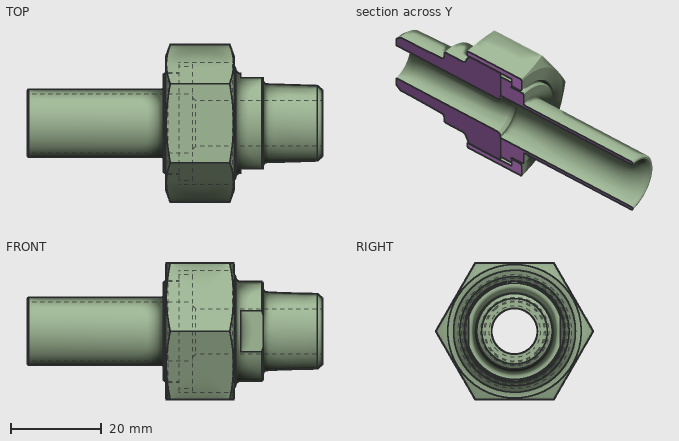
import cadquery as cq
import math

TOTAL_LENGTH = 65.0

NUT_ACROSS_FLATS = 30.0
NUT_START = 30.5
NUT_LENGTH = 15.0
NUT_FACE_RADIUS = 14.7
NUT_CHAMFER_ANGLE = 20.0
NUT_LIP_LENGTH = 2.85
NUT_LIP_RADIUS = 11.25
NUT_LIP_CHAMFER = 0.45
NUT_THREAD_RADIUS = 13.42

TUBE_RADIUS = 7.51
TUBE_BORE_RADIUS = 6.5
TUBE_OUTER_CHAMFER = 0.3
TUBE_INNER_CHAMFER = 0.25
HUB_START = 29.95
HUB_RADIUS = 11.0
HUB_CHAMFER = 0.25
HUB_FILLET = 0.4
COLLAR_RADIUS = 12.51
COLLAR_LENGTH = 3.0

BORE_RADIUS = 5.0
BORE_MOUTH_RADIUS = 5.65
SHOULDER_START = 45.05
NECK_FILLET_START = 45.8
NECK_FILLET_RADIUS = 1.05
NECK_RADIUS = 11.0
NECK_END = 51.95
NECK_CHAMFER = 0.4
WRENCH_FLAT_WIDTH = 20.0
WRENCH_FLAT_START = 47.0
TAPER_START = 52.65
TAPER_START_RADIUS = 8.65
TAPER_END = 63.8
TAPER_FILLET = 0.7
TAPER_RATIO = 1 / 16
END_RADIUS = 7.2

NUT_END = NUT_START + NUT_LENGTH
LIP_END = NUT_START + NUT_LIP_LENGTH
SEAT = LIP_END + COLLAR_LENGTH
TAPER_END_RADIUS = TAPER_START_RADIUS - (TAPER_END - TAPER_START) * TAPER_RATIO / 2
HALF_DIAGONAL = math.sin(math.pi / 4)


def revolve_about_x(profile):
    """Revolve a closed (x, radius) profile about the X axis."""
    return profile.close().revolve(360, (0, 0, 0), (1, 0, 0))


def concave_fillet(profile, start_x, end_radius, size):
    """Quarter arc from (start_x, end_radius + size) down to (start_x + size, end_radius)."""
    sag = size * (1 - HALF_DIAGONAL)
    return profile.threePointArc(
        (start_x + sag, end_radius + sag), (start_x + size, end_radius)
    )


def make_nut():
    hexagon_diameter = NUT_ACROSS_FLATS / math.cos(math.pi / 6)
    hexagon = cq.Workplane("YZ", origin=(NUT_START, 0, 0)).polygon(6, hexagon_diameter).extrude(NUT_LENGTH)

    corner_radius = hexagon_diameter / 2
    chamfer_length = (corner_radius - NUT_FACE_RADIUS) * math.tan(math.radians(NUT_CHAMFER_ANGLE))
    envelope = revolve_about_x(
        cq.Workplane("XY")
        .moveTo(NUT_START, 0)
        .lineTo(NUT_START, NUT_FACE_RADIUS)
        .lineTo(NUT_START + chamfer_length, corner_radius)
        .lineTo(NUT_END - chamfer_length, corner_radius)
        .lineTo(NUT_END, NUT_FACE_RADIUS)
        .lineTo(NUT_END, 0)
    )
    opening = revolve_about_x(
        cq.Workplane("XY")
        .moveTo(NUT_START, 0)
        .lineTo(NUT_START, NUT_LIP_RADIUS + NUT_LIP_CHAMFER)
        .lineTo(NUT_START + NUT_LIP_CHAMFER, NUT_LIP_RADIUS)
        .lineTo(LIP_END, NUT_LIP_RADIUS)
        .lineTo(LIP_END, NUT_THREAD_RADIUS)
        .lineTo(NUT_END, NUT_THREAD_RADIUS)
        .lineTo(NUT_END, 0)
    )
    return hexagon.intersect(envelope).cut(opening)


def make_tailpiece():
    fillet_start = HUB_START - HUB_FILLET
    sag = HUB_FILLET * (1 - HALF_DIAGONAL)
    return revolve_about_x(
        cq.Workplane("XY")
        .moveTo(TUBE_INNER_CHAMFER, TUBE_BORE_RADIUS)
        .lineTo(0, TUBE_BORE_RADIUS + TUBE_INNER_CHAMFER)
        .lineTo(0, TUBE_RADIUS - TUBE_OUTER_CHAMFER)
        .lineTo(TUBE_OUTER_CHAMFER, TUBE_RADIUS)
        .lineTo(fillet_start, TUBE_RADIUS)
        .threePointArc((HUB_START - sag, TUBE_RADIUS + sag), (HUB_START, TUBE_RADIUS + HUB_FILLET))
        .lineTo(HUB_START, HUB_RADIUS - HUB_CHAMFER)
        .lineTo(HUB_START + HUB_CHAMFER, HUB_RADIUS)
        .lineTo(LIP_END, HUB_RADIUS)
        .lineTo(LIP_END, COLLAR_RADIUS)
        .lineTo(SEAT, COLLAR_RADIUS)
        .lineTo(SEAT, TUBE_BORE_RADIUS)
    )


def make_adapter():
    mouth_depth = BORE_MOUTH_RADIUS - BORE_RADIUS
    profile = (
        cq.Workplane("XY")
        .moveTo(SEAT + mouth_depth, BORE_RADIUS)
        .lineTo(SEAT, BORE_MOUTH_RADIUS)
        .lineTo(SEAT, NUT_THREAD_RADIUS)
        .lineTo(SHOULDER_START, NUT_THREAD_RADIUS)
        .lineTo(NECK_FILLET_START, NECK_RADIUS + NECK_FILLET_RADIUS)
    )
    profile = concave_fillet(profile, NECK_FILLET_START, NECK_RADIUS, NECK_FILLET_RADIUS)
    profile = (
        profile
        .lineTo(NECK_END - NECK_CHAMFER, NECK_RADIUS)
        .lineTo(NECK_END, NECK_RADIUS - NECK_CHAMFER)
        .lineTo(NECK_END, TAPER_START_RADIUS + TAPER_FILLET)
    )
    profile = concave_fillet(profile, NECK_END, TAPER_START_RADIUS, TAPER_FILLET)
    profile = (
        profile
        .lineTo(TAPER_END, TAPER_END_RADIUS)
        .lineTo(TOTAL_LENGTH, END_RADIUS)
        .lineTo(TOTAL_LENGTH, BORE_RADIUS)
    )
    adapter = revolve_about_x(profile)

    flat_depth = NUT_THREAD_RADIUS - WRENCH_FLAT_WIDTH / 2
    flat_length = NECK_END - WRENCH_FLAT_START
    for side in (-1, 1):
        waste = cq.Workplane("XY").box(flat_length, flat_depth, 2 * NUT_THREAD_RADIUS).translate(
            (WRENCH_FLAT_START + flat_length / 2, side * (WRENCH_FLAT_WIDTH + flat_depth) / 2, 0)
        )
        adapter = adapter.cut(waste)
    return adapter


nut = make_nut()
tailpiece = make_tailpiece()
adapter = make_adapter()

result = cq.Compound.makeCompound([nut.val(), tailpiece.val(), adapter.val()])